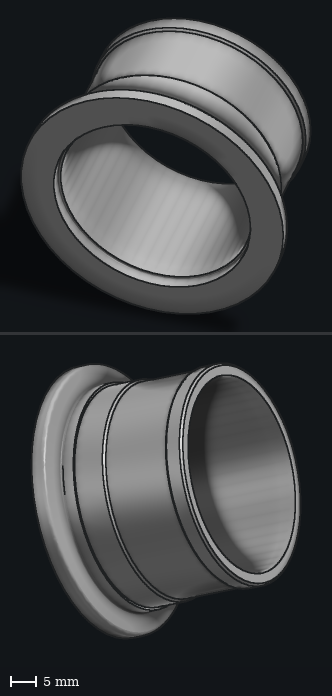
import cadquery as cq

flange_radius = 27.5
collar_radius = 23.0
band_radius = 22.5
neck_radius = 22.0
bore_radius = 20.0
counterbore_radius = 20.6

flange_apex = 2.95
collar_start = 4.2
collar_end = 7.0
neck_start = 13.95
neck_end = 28.0
length = 32.0
counterbore_depth = 2.5

band_step = band_radius - neck_radius
rim_fillet = 1.0
collar_fillet = 0.5
tip_chamfer = 0.5
counterbore_fillet = 0.2


def fillet_circle(body, radius, y, size):
    """Round the circular edge of the given radius lying at height y."""
    reach = 0.03
    box = cq.selectors.BoxSelector(
        (-radius - reach, y - reach, -radius - reach),
        (radius + reach, y + reach, radius + reach),
        boundingbox=True,
    )
    largest = cq.selectors.RadiusNthSelector(-1)
    return body.edges(box).edges("%CIRCLE").edges(largest).fillet(size)


profile = [
    (bore_radius, counterbore_depth),
    (counterbore_radius, counterbore_depth),
    (counterbore_radius, 0),
    (flange_radius, 0),
    (flange_radius, flange_apex),
    (collar_radius, collar_start),
    (collar_radius, collar_end),
    (band_radius, collar_end),
    (band_radius, neck_start - band_step),
    (neck_radius, neck_start),
    (neck_radius, neck_end),
    (band_radius, neck_end + band_step),
    (band_radius, length - tip_chamfer),
    (band_radius - tip_chamfer, length),
    (bore_radius, length),
]
body = cq.Workplane("XY").polyline(profile).close().revolve(360, (0, 0), (0, 1))

body = fillet_circle(body, flange_radius, flange_apex, rim_fillet)
body = fillet_circle(body, collar_radius, collar_start, collar_fillet)
result = fillet_circle(body, counterbore_radius, counterbore_depth, counterbore_fillet)